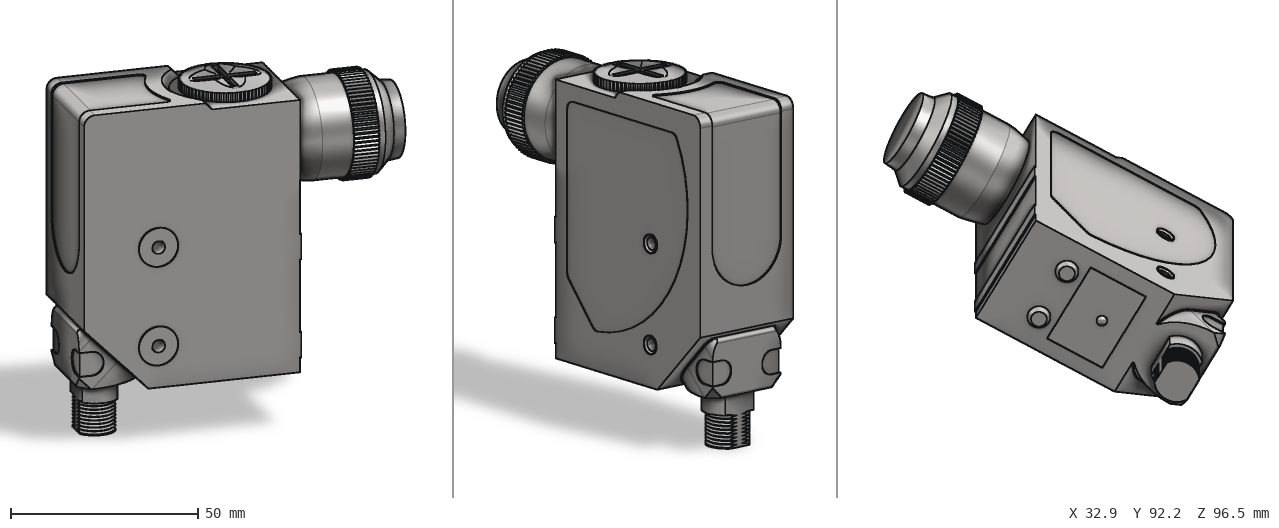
import cadquery as cq
import math

body_width = 32.2
body_depth = 60.7
body_height = 78.9
half_width = body_width / 2
front_radius = 3.0
corner_cut = 18.0

step_drop = 1.9
step_z = body_height - step_drop
step_y = 36.0
cap_y = 44.9
step_inner_radius = 15.0

window_half_width = 12.0
window_bottom = 29.9
window_depth = 0.4
window_edge_radius = 3.1
window_rear_radius = 21.4
window_corner_radius = 1.5
window_wrap = 3.9

label_depth = 0.2
label_rear = 56.0
label_top = 72.3
label_corner_z = 23.7
label_slant_end_y = 44.4
label_arc_centre = (46.7, 52.1)
label_arc_radius = 41.3
label_fillet = 2.5

hole_y = 20.8
hole_heights = (11.9, 39.8)
hole_diameter = 3.6
hole_mouth_diameter = 4.8
sleeve_diameter = 5.2
sleeve_height = 0.3
pad_diameter = 11.0
pad_height = 0.4

rear_pad_centres = (7.7, 35.5)
rear_pad_height = 7.1
rear_pad_thickness = 0.4

cap_radius = 12.45
cap_tooth = 0.3
cap_teeth = 64
cap_rim_z = 79.6
cap_top_z = 81.1
dome_edge_radius = 11.9
petal_corner = 4.2
scoop_bottom_z = 80.2
cross_length = 17.4
cross_width = 1.9
cross_bottom_z = 78.8

plug_z = 62.9
plug_root_radius = 12.6
plug_radius = 14.1
plug_taper_end = 67.7
plug_cone_start = 85.4
plug_cone_end = 88.8
plug_neck_radius = 11.0
plug_end_radius = 10.6
plug_end = 92.2
grip_start = 76.4
grip_end = 83.5
grip_radius = 15.0
grip_tooth = 0.6
grip_teeth = 76

elbow_half_width = 11.8
elbow_top = 16.7
elbow_edge_fillet = 1.2
elbow_lower_fillet = 0.8
elbow_axis_y = 10.8
elbow_length = 14.7
elbow_end_radius = 4.3
elbow_reach = 19.3
elbow_corner_cut = 3.4
flange_margin = 0.3
flange_thickness = 0.3
dimple_z = 7.1
dimple_radius = 3.4
dimple_front_length = 6.5
dimple_side_length = 6.95
dimple_depth = 0.4

stem_y = 8.1
stem_flats = 10.0
collar_radius = 7.0
collar_top = 1.2
collar_bottom = -6.0
thread_radius = 6.0
thread_core_radius = 5.1
thread_turns = 9
thread_end = -15.1
thread_pitch = (collar_bottom - thread_end) / thread_turns
thread_bottom = -15.4

button_y = 46.2
button_x = 7.5
button_top_radius = 3.1
button_tip_radius = 2.1
button_height = 1.6
plate_y = (24.3, 41.3)
plate_width = 23.5
plate_thickness = 0.3
lamp_y = 31.2
lamp_radius = 1.4


def box(x_range, y_range, z_range):
    """Box between two limits on each axis."""
    (x0, x1), (y0, y1), (z0, z1) = x_range, y_range, z_range
    return cq.Workplane("XY").box(x1 - x0, y1 - y0, z1 - z0, centered=False).translate((x0, y0, z0))


def along_x(points, width):
    """Closed Y-Z outline extruded symmetrically about X = 0."""
    return cq.Workplane("YZ").polyline(points).close().extrude(width / 2, both=True)


def toothed_outline(teeth, outer, depth):
    """Points of a round outline with V-shaped teeth."""
    points = []
    for i in range(2 * teeth):
        radius = outer - depth * (i % 2)
        angle = math.pi * i / teeth
        points.append((radius * math.cos(angle), radius * math.sin(angle)))
    return points


def housing(inset, edge_radius):
    """Side profile with a rounded front edge; inset pulls the front and top inwards."""
    top = body_height - inset
    points = [
        (corner_cut, 0),
        (body_depth, 0),
        (body_depth, top),
        (inset, top),
        (inset, corner_cut - inset),
    ]
    block = along_x(points, body_width)
    return block.edges("|X and >Z and <Y").fillet(edge_radius)


def rear_step():
    """Material removed behind the step, including the conical wall round the cap."""
    slope = along_x(
        [
            (step_y, step_z),
            (step_y - step_drop, body_height),
            (body_depth, body_height),
            (body_depth, step_z),
        ],
        body_width,
    )
    cone = cq.Solid.makeCone(
        step_inner_radius, step_inner_radius + step_drop, step_drop, cq.Vector(0, cap_y, step_z)
    )
    inside = box((-half_width, half_width), (0, body_depth), (step_z, body_height))
    return slope.union(inside.intersect(cq.Workplane(cone)))


def window():
    """Thin skin removed over the front and top window outlines."""
    w = window_half_width
    front = (
        cq.Workplane("XZ").moveTo(-w, body_height).lineTo(-w, window_bottom + w)
        .threePointArc((0, window_bottom), (w, window_bottom + w))
        .lineTo(w, body_height).close().extrude(-window_wrap)
    )
    side_y = cap_y - math.sqrt(window_rear_radius**2 - w**2)
    top = (
        cq.Workplane("XY").workplane(offset=body_height - window_wrap)
        .moveTo(-w, 0).lineTo(w, 0).lineTo(w, side_y)
        .threePointArc((0, cap_y - window_rear_radius), (-w, side_y))
        .close().extrude(window_wrap).edges("|Z and >Y").fillet(window_corner_radius)
    )
    return front.union(top).cut(housing(window_depth, window_edge_radius))


def label():
    """Shallow recess with one large arc on the -X side."""
    cy, cz = label_arc_centre
    r = label_arc_radius
    upper_y = cy - math.sqrt(r**2 - (label_top - cz)**2)
    lower_y = label_slant_end_y
    lower_z = cz - math.sqrt(r**2 - (lower_y - cy)**2)
    middle = (cy - r * math.cos(math.pi / 8), cz - r * math.sin(math.pi / 8))
    return (
        cq.Workplane("YZ").workplane(offset=-half_width)
        .moveTo(label_rear, label_corner_z).lineTo(label_rear, label_top).lineTo(upper_y, label_top)
        .threePointArc(middle, (lower_y, lower_z)).close()
        .extrude(label_depth).edges("|X").fillet(label_fillet)
    )


def side_cylinder(x, z, diameter, length):
    """Cylinder along +X on the line of a cross hole."""
    return cq.Workplane("YZ").workplane(offset=x).center(hole_y, z).circle(diameter / 2).extrude(length)


def countersink(z):
    """Cone that widens the mouth of a cross hole."""
    mouth_radius = hole_mouth_diameter / 2
    hole_radius = hole_diameter / 2
    mouth_centre = cq.Vector(-half_width - sleeve_height, hole_y, z)
    cone = cq.Solid.makeCone(
        mouth_radius, hole_radius, mouth_radius - hole_radius, mouth_centre, cq.Vector(1, 0, 0)
    )
    return cq.Workplane(cone)


def adjusting_cap():
    """Toothed, domed cap with finger scoops and a cross slot."""
    rim = (
        cq.Workplane("XY").workplane(offset=step_z)
        .polyline(toothed_outline(cap_teeth, cap_radius, cap_tooth)).close().extrude(cap_rim_z - step_z)
    )
    peak_radius = petal_corner * math.sqrt(2)
    rise = cap_top_z - cap_rim_z
    dome_centre_z = ((cap_top_z + cap_rim_z) - (dome_edge_radius**2 - peak_radius**2) / rise) / 2
    dome_radius = math.hypot(dome_edge_radius, cap_rim_z - dome_centre_z)
    dome_top_z = dome_centre_z + dome_radius
    dome = cq.Workplane("XY").sphere(dome_radius).translate((0, 0, dome_centre_z))
    crown = (
        cq.Workplane("XY").workplane(offset=cap_rim_z)
        .circle(dome_edge_radius).extrude(dome_top_z - cap_rim_z).intersect(dome)
    )
    cap = rim.union(crown)
    scoop_rise = cap_top_z - scoop_bottom_z
    scoop_radius = (petal_corner**2 + scoop_rise**2) / (2 * scoop_rise)
    for plane in ("XZ", "YZ"):
        scoop = (
            cq.Workplane(plane).center(0, scoop_bottom_z + scoop_radius)
            .circle(scoop_radius).extrude(cap_radius, both=True)
        )
        cap = cap.cut(scoop)
    cross_depth = dome_top_z - cross_bottom_z
    cross = cq.Workplane("XY").workplane(offset=cross_bottom_z)
    for size in ((cross_length, cross_width), (cross_width, cross_length)):
        cap = cap.cut(cross.rect(*size).extrude(cross_depth))
    return cap.translate((0, cap_y, 0))


def rear_plug():
    """Turned connector body with a toothed grip ring."""
    taper_middle = ((plug_root_radius + 2 * plug_radius) / 3, (body_depth + plug_taper_end) / 2)
    turned = (
        cq.Workplane("XY").moveTo(0, body_depth).lineTo(plug_root_radius, body_depth)
        .threePointArc(taper_middle, (plug_radius, plug_taper_end))
        .lineTo(plug_radius, plug_cone_start).lineTo(plug_neck_radius, plug_cone_end)
        .lineTo(plug_end_radius, plug_end).lineTo(0, plug_end).close()
        .revolve(360, (0, 0, 0), (0, 1, 0))
    )
    grip = (
        cq.Workplane("XZ", origin=(0, grip_start, 0))
        .polyline(toothed_outline(grip_teeth, grip_radius, grip_tooth)).close()
        .extrude(grip_start - grip_end)
    )
    return turned.union(grip).translate((0, 0, plug_z))


def swivel_outline(plane, margin, length):
    """U-shaped footprint: round about the swivel axis, square with rounded corners above it."""
    r = elbow_half_width + margin
    foot = cq.Workplane(plane).circle(r).extrude(length)
    upper = (
        cq.Workplane(plane).center(0, elbow_length / 2).rect(2 * r, elbow_length)
        .extrude(length).edges(">(0, -1, 1)").edges("|(0, 1, 1)").fillet(elbow_end_radius)
    )
    return foot.union(upper)


def elbow():
    """Outlet block seated on the corner cut, with sliced corners and shallow dimples."""
    swivel = cq.Plane(
        origin=(0, elbow_axis_y, corner_cut - elbow_axis_y), xDir=(1, 0, 0), normal=(0, -1, -1)
    )
    profile = along_x(
        [(0, 0), (corner_cut, 0), (corner_cut - elbow_top, elbow_top), (0, elbow_top)], body_width
    )
    profile = profile.edges("|X and <Y and >Z").fillet(elbow_edge_fillet)
    profile = profile.edges("|X and <Y and <Z").fillet(elbow_lower_fillet)
    flange = swivel_outline(swivel, flange_margin, flange_thickness)
    block = swivel_outline(swivel, 0, elbow_reach).union(flange).intersect(profile)
    dimple_span = (dimple_z - dimple_radius, dimple_z + dimple_radius)
    for side in (-1, 1):
        corner = cq.Plane(
            origin=(side * (elbow_half_width - elbow_corner_cut), 0, 0),
            xDir=(0, 1, -1),
            normal=(side, -1, -1),
        )
        block = block.cut(cq.Workplane(corner).rect(elbow_reach, elbow_reach).extrude(elbow_reach))
        edge_x = side * elbow_half_width
        front_x = edge_x - side * (dimple_front_length - dimple_radius)
        front = cq.Workplane("XZ").center(front_x, dimple_z).circle(dimple_radius).extrude(-dimple_depth)
        front = front.union(box(sorted((front_x, edge_x)), (0, dimple_depth), dimple_span))
        flank_y = dimple_side_length - dimple_radius
        flank_x = sorted((edge_x, edge_x - side * dimple_depth))
        flank = (
            cq.Workplane("YZ").workplane(offset=flank_x[0]).center(flank_y, dimple_z)
            .circle(dimple_radius).extrude(dimple_depth)
        )
        flank = flank.union(box(flank_x, (0, flank_y), dimple_span))
        block = block.cut(front).cut(flank)
    return block


def threaded_stem():
    """Collar and V-grooved thread, both flattened at the front and back."""
    outline = [(0, collar_top), (collar_radius, collar_top), (collar_radius, collar_bottom)]
    outline.append((thread_radius, collar_bottom))
    for i in range(thread_turns):
        z = collar_bottom - i * thread_pitch
        outline.append((thread_core_radius, z - thread_pitch / 2))
        outline.append((thread_radius, z - thread_pitch))
    outline += [(thread_radius, thread_bottom), (0, thread_bottom)]
    stem = cq.Workplane("XZ").polyline(outline).close().revolve(360, (0, 0, 0), (0, 1, 0))
    flats = box(
        (-collar_radius, collar_radius), (-stem_flats / 2, stem_flats / 2), (thread_bottom, collar_top)
    )
    return stem.intersect(flats).translate((0, stem_y, 0))


def buttons():
    """Pair of tapered buttons under the housing."""
    pair = cq.Workplane("XY")
    for x in (-button_x, button_x):
        button = cq.Solid.makeCone(
            button_top_radius, button_tip_radius, button_height,
            cq.Vector(x, button_y, 0), cq.Vector(0, 0, -1),
        )
        pair = pair.add(button)
    return pair.combine()


def rear_pad(z):
    """Full-width pad on the rear face, centred on height z."""
    return box(
        (-half_width, half_width),
        (body_depth, body_depth + rear_pad_thickness),
        (z - rear_pad_height / 2, z + rear_pad_height / 2),
    )


result = housing(0, front_radius).cut(rear_step()).cut(window()).cut(label())

for part in (adjusting_cap(), rear_plug(), elbow(), threaded_stem(), buttons()):
    result = result.union(part)
for z in rear_pad_centres:
    result = result.union(rear_pad(z))

result = result.union(box((-plate_width / 2, plate_width / 2), plate_y, (-plate_thickness, 0)))
result = result.union(cq.Workplane("XY").sphere(lamp_radius).translate((0, lamp_y, 0)))

for z in hole_heights:
    result = result.union(side_cylinder(-half_width - sleeve_height, z, sleeve_diameter, body_width / 2))
    result = result.union(side_cylinder(0, z, pad_diameter, half_width + pad_height))
    result = result.cut(side_cylinder(-body_width, z, hole_diameter, 2 * body_width))
    result = result.cut(countersink(z))